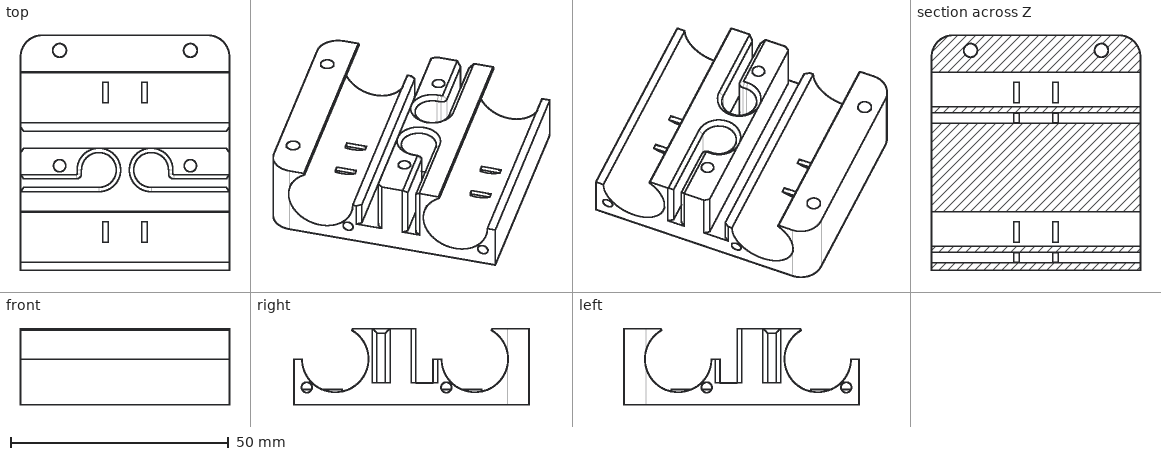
import cadquery as cq
import math

length_x = 48.0
width_y = 54.0
height = 17.5
half_x = length_x / 2
corner_radius = 5.0

bore_radius = 7.6
bore_z = 10.55
front_bore_y = 9.5
bore_pitch = 32.0
bore_ys = (front_bore_y, front_bore_y + bore_pitch)
lip_angle = 60.0

floor_z = 5.1
trough_front_y = 28.0
trough_back_y = 31.9

well_radius = 4.0
well_x = 6.0
well_y = 23.05
slot_front_y = well_y - well_radius
slot_back_y = 21.0
slot_corner_radius = 1.2
top_chamfer = 1.0

flare_x = 0.75
flare_y = 1.1

hole_x = 15.0
mount_hole_diameter = 3.1
mount_hole_y = 50.5
ridge_hole_diameter = 2.8
ridge_hole_y = 24.05
side_hole_diameter = 2.4
side_hole_offset = 6.55

rib_x = 4.455
rib_width = 1.2
rib_top_z = 3.55
rib_back_offset = 1.6
rib_front_offset = side_hole_offset + side_hole_diameter / 2

overshoot = 1.6


def box(x_min, x_max, y_min, y_max, z_min, z_max):
    size = (x_max - x_min, y_max - y_min, z_max - z_min)
    return cq.Workplane("XY").box(*size, centered=False).translate((x_min, y_min, z_min))


def along_x(sketch_y, sketch_z, radius):
    """Cylinder along X, through the whole block."""
    plane = cq.Workplane("YZ", origin=(-half_x, 0, 0))
    return plane.center(sketch_y, sketch_z).circle(radius).extrude(length_x)


def cradle_cutter(bore_y):
    """Round bore plus the opening between its axis height and the lip plane."""
    opening_top = height - bore_z
    front_reach = bore_y if bore_y == front_bore_y else bore_y - trough_front_y
    lip_reach = opening_top / math.tan(math.radians(lip_angle))
    opening = (
        cq.Workplane("YZ", origin=(-half_x, bore_y, bore_z))
        .polyline([(0, 0), (lip_reach, opening_top), (-front_reach, opening_top), (-front_reach, 0)])
        .close()
        .extrude(length_x)
    )
    return along_x(bore_y, bore_z, bore_radius).union(opening)


def keyhole_outline():
    """Left keyhole in plan, drawn at the top face."""
    left = -well_x - well_radius
    end = -half_x - overshoot
    bend = slot_corner_radius * (1 - math.sqrt(0.5))
    return (
        cq.Workplane("XY", origin=(0, 0, height))
        .moveTo(-well_x, slot_front_y)
        .threePointArc((-well_x + well_radius, well_y), (-well_x, well_y + well_radius))
        .radiusArc((left, well_y), -well_radius)
        .lineTo(left, slot_back_y + slot_corner_radius)
        .threePointArc((left - bend, slot_back_y + bend), (left - slot_corner_radius, slot_back_y))
        .lineTo(end, slot_back_y)
        .lineTo(end, slot_front_y)
        .close()
    )


def keyhole_cutter():
    pocket = keyhole_outline().extrude(floor_z - height)
    chamfer = keyhole_outline().offset2D(top_chamfer).extrude(-top_chamfer, taper=45)
    return pocket.union(chamfer)


def flare_cutter(y_min, y_max):
    """Widening of a channel at the left side face."""
    return (
        cq.Workplane("XY", origin=(0, 0, floor_z))
        .polyline([
            (-half_x, y_min - flare_y),
            (-half_x + flare_x, y_min),
            (-half_x + flare_x, y_max),
            (-half_x, y_max + flare_y),
        ])
        .close()
        .extrude(height - floor_z)
    )


def vertical_holes(y, diameter, bottom_z):
    plane = cq.Workplane("XY", origin=(0, y, bottom_z))
    return plane.pushPoints([(-hole_x, 0), (hole_x, 0)]).circle(diameter / 2).extrude(height - bottom_z)


body = box(-half_x, half_x, 0, width_y, 0, height).edges("|Z and >Y").fillet(corner_radius)

for bore_y in bore_ys:
    body = body.cut(cradle_cutter(bore_y))
    side_hole = along_x(bore_y - side_hole_offset, bore_z - side_hole_offset, side_hole_diameter / 2)
    body = body.cut(side_hole)

body = body.cut(box(-half_x, half_x, trough_front_y, trough_back_y, floor_z, height))
left_cutters = (
    keyhole_cutter(),
    flare_cutter(slot_front_y, slot_back_y),
    flare_cutter(trough_front_y, trough_back_y),
)
for cutter in left_cutters:
    body = body.cut(cutter).cut(cutter.mirror("YZ"))

body = body.cut(vertical_holes(mount_hole_y, mount_hole_diameter, 0))
body = body.cut(vertical_holes(ridge_hole_y, ridge_hole_diameter, floor_z))

for bore_y in bore_ys:
    for x in (-rib_x, rib_x):
        rib = box(
            x - rib_width / 2, x + rib_width / 2,
            bore_y - rib_front_offset, bore_y + rib_back_offset,
            bore_z - bore_radius - rib_width / 2, rib_top_z,
        )
        body = body.union(rib)

result = body